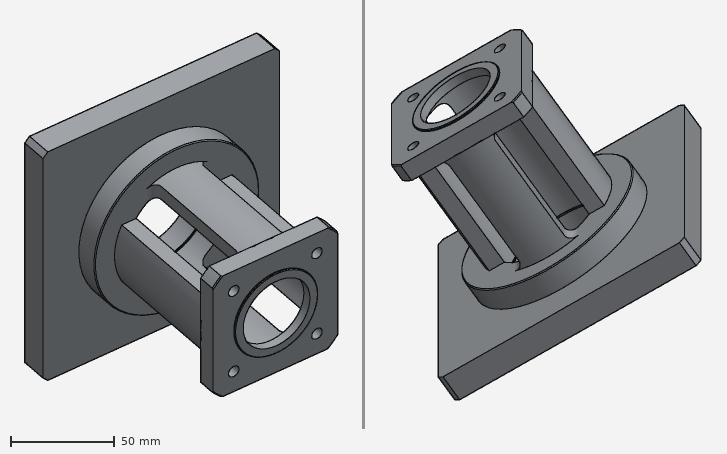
import cadquery as cq

flange_thickness = 15.0
boss_end = 28.0
cage_end = 99.0
plate_end = 109.0
lip_end = 110.0
bore_end = 105.1
groove_start = 13.0
groove_end = 13.9

flange_side = 142.0
flange_corner = 2.8
plate_side = 75.0
plate_corner_diameter = 99.0

boss_diameter = 99.0
turned_chamfer = 0.5
cage_diameter = 75.0
bore_diameter = 60.0
groove_diameter = 60.6
lip_diameter = 50.0
lip_chamfer = 0.4
end_hole_diameter = 40.0

vertical_bar_half_width = 13.0
side_bar_half_width = 17.5
window_corner_radius = 5.0

screw_diameter = 6.2
screw_spacing = 50.0


def disc(diameter, start, end):
    """Cylinder on the X axis between two axial stations."""
    return cq.Workplane("YZ", origin=(start, 0, 0)).circle(diameter / 2).extrude(end - start)


def turned_disc(diameter, start, end, chamfer):
    """Cylinder on the X axis with its +X rim chamfered."""
    return disc(diameter, start, end).faces(">X").edges().chamfer(chamfer)


def square_plate(side, start, end):
    """Square plate centred on the X axis between two axial stations."""
    return cq.Workplane("YZ", origin=(start, 0, 0)).rect(side, side).extrude(end - start)


def window(y_sign, z_sign):
    """Cutter for one cage quadrant, with rounded corners beside the vertical bar."""
    length = cage_end - boss_end
    reach = cage_diameter / 2
    width = reach - vertical_bar_half_width
    height = reach - side_bar_half_width
    centre = (
        (boss_end + cage_end) / 2,
        y_sign * (vertical_bar_half_width + width / 2),
        z_sign * (side_bar_half_width + height / 2),
    )
    inner_face = "<Y" if y_sign > 0 else ">Y"
    block = cq.Workplane("XY").box(length, width, height)
    return block.faces(inner_face).edges("|Z").fillet(window_corner_radius).translate(centre)


flange = square_plate(flange_side, 0, flange_thickness).edges("|X").chamfer(flange_corner)
boss = turned_disc(boss_diameter, flange_thickness, boss_end, turned_chamfer)
cage = disc(cage_diameter, boss_end, cage_end)
for y_sign in (-1, 1):
    for z_sign in (-1, 1):
        cage = cage.cut(window(y_sign, z_sign))
plate_blank = turned_disc(plate_corner_diameter, cage_end, plate_end, turned_chamfer)
end_plate = square_plate(plate_side, cage_end, plate_end).intersect(plate_blank)
lip = turned_disc(lip_diameter, plate_end, lip_end, lip_chamfer)

body = flange.union(boss).union(cage).union(end_plate).union(lip)
body = body.cut(disc(bore_diameter, 0, bore_end))
body = body.cut(disc(groove_diameter, groove_start, groove_end))
body = body.cut(disc(end_hole_diameter, bore_end, lip_end))

screw_holes = (
    cq.Workplane("YZ", origin=(cage_end, 0, 0))
    .rect(screw_spacing, screw_spacing, forConstruction=True)
    .vertices()
    .circle(screw_diameter / 2)
    .extrude(plate_end - cage_end)
)
result = body.cut(screw_holes)